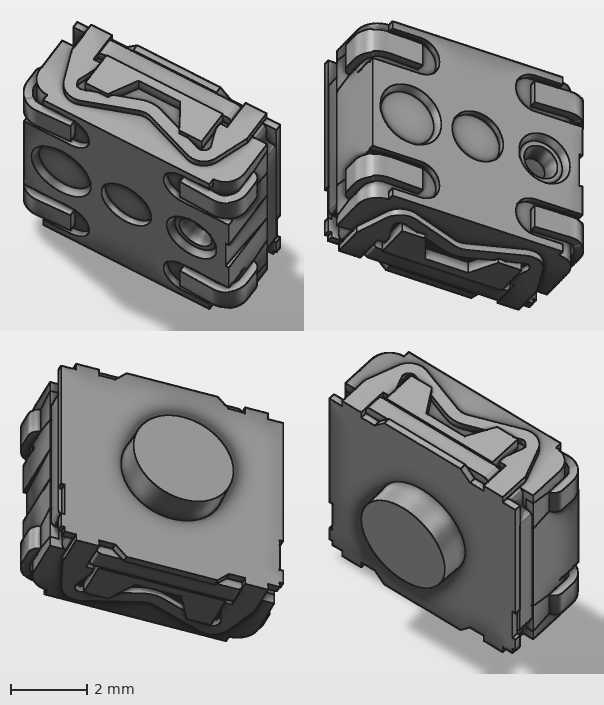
import cadquery as cq
import math


sheet = 0.2
terminal_sheet = 0.24

block_half_x = 3.16
block_half_z = 2.8
block_depth = 1.9
corner_radius = 0.6
recess_depth = 0.2

rim_height = 0.5
rim_half_x = 3.13
rim_half_z = 2.115
rim_neck_half_x = 2.815
rim_neck_half_z = 2.82
rim_tab_half_x = 2.06
rim_tab_half_z = 3.095
rim_radius = 0.15

lug_half_x = 1.795
lug_drop = 1.055
lug_half_z = 3.15
lug_notch_half_top = 0.645
lug_notch_half_bottom = 1.1
lug_notch_top = -0.26

terminal_z = 2.0
pad_recess_z = 1.985
pad_recess_radius = 0.58
pad_recess_x = 1.73
fillet_zone_inner_z = 1.435

edge_notch_half_z = 0.5
edge_notch_draft = 3.0

locating_hole_x = 2.01
wide_hole_radius = 0.92
wide_hole_floor_radius = 0.8
middle_hole_radius = 0.77
step_hole_radius = 0.77
step_hole_floor_radius = 0.645
inner_hole_radius = 0.5
inner_hole_floor_radius = 0.35
inner_hole_depth = 0.4

plate_half_x = 3.135
tab_half_base = 1.605
tab_half_tip = 1.285
side_notch_top = -1.22
side_notch_bottom = -2.23
side_notch_depth = 0.1
corner_step_z = 0.155

hook_leg_half_x = 2.705
hook_jog_half_x = 1.84
hook_jog_y = -0.22
hook_slope = 20.0
hook_band = 0.355
hook_bend_radius = 0.55
hook_bend_x = 1.84
hook_bend_y = -1.01
hook_peak_radius = 0.55

button_radius = 1.44
button_tip_radius = 1.41
button_height = 0.8

terminal_width = 0.75
terminal_tip_width = 0.68
terminal_root_width = 0.99
terminal_half_x = 3.4
terminal_bend_radius = 0.65
terminal_top_radius = 0.3
terminal_drop = 2.0
terminal_tip_x = 1.685
terminal_tilt = 2.5
terminal_neck_y = -0.66
narrowing_angle = 52.0
narrowing_length = 0.095

cover_top = rim_height + sheet
pad_floor = recess_depth - block_depth


def plate_sketch(y):
    """Workplane with local axes X and Z at height y; positive extrusions go to -Y."""
    return cq.Workplane("XZ", origin=(0, y, 0))


def box(x0, x1, y0, y1, z0, z1):
    return cq.Workplane("XY").box(x1 - x0, y1 - y0, z1 - z0, centered=False).translate((x0, y0, z0))


def centred_slab(half_x, half_z, y0, y1):
    return box(-half_x, half_x, y0, y1, -half_z, half_z)


def polar(radius, degrees):
    angle = math.radians(degrees)
    return cq.Vector(radius * math.cos(angle), radius * math.sin(angle))


def point(vector):
    """Plain coordinates of a vector in the XY plane."""
    return vector.x, vector.y


def mirrored_point(vector):
    return -vector.x, vector.y


def both_z(shape):
    """The shape together with its mirror image at -Z."""
    return shape.union(shape.mirror("XY"))


def terminal_strip():
    """Bent strip outside the housing, at the -X side, centred on Z = 0."""
    inner_radius = terminal_bend_radius - terminal_sheet
    centre = cq.Vector(terminal_bend_radius - terminal_half_x, terminal_bend_radius - terminal_drop)
    foot_angle = 270 + terminal_tilt
    mid_angle = (180 + foot_angle) / 2
    outer_end = centre + polar(terminal_bend_radius, foot_angle)
    inner_end = centre + polar(inner_radius, foot_angle)
    foot = polar((-terminal_tip_x - outer_end.x) / math.cos(math.radians(terminal_tilt)), terminal_tilt)
    top_centre = cq.Vector(terminal_top_radius - terminal_half_x, terminal_neck_y - terminal_top_radius)

    strip = (
        cq.Workplane("XY", origin=(0, 0, -terminal_width / 2))
        .moveTo(top_centre.x, terminal_neck_y)
        .threePointArc(
            point(top_centre + polar(terminal_top_radius, 135)),
            point(top_centre + polar(terminal_top_radius, 180)),
        )
        .lineTo(-terminal_half_x, centre.y)
        .threePointArc(point(centre + polar(terminal_bend_radius, mid_angle)), point(outer_end))
        .lineTo(*point(outer_end + foot))
        .lineTo(*point(inner_end + foot))
        .lineTo(*point(inner_end))
        .threePointArc(
            point(centre + polar(inner_radius, mid_angle)),
            point(centre + polar(inner_radius, 180)),
        )
        .lineTo(-block_half_x, top_centre.y)
        .lineTo(top_centre.x, top_centre.y)
        .close()
        .extrude(terminal_width)
    )

    radial = polar(1, 180 + narrowing_angle)
    along = polar(1, 270 + narrowing_angle)
    reach = terminal_half_x
    trim_plane = cq.Plane(origin=centre, xDir=along, normal=radial)
    wide_half = terminal_width / 2
    tip_half = terminal_tip_width / 2
    half_length = narrowing_length / 2
    half_step = (wide_half - tip_half) / 2
    half_sweep = math.atan(half_step / half_length)
    curve_radius = (half_length**2 + half_step**2) / (2 * half_step)
    mid_along = half_length - curve_radius * math.sin(half_sweep)
    mid_rise = curve_radius * (1 - math.cos(half_sweep))
    trim = (
        cq.Workplane(trim_plane)
        .moveTo(-half_length, wide_half)
        .threePointArc((-mid_along, wide_half - mid_rise), (0, wide_half - half_step))
        .threePointArc((mid_along, tip_half + mid_rise), (half_length, tip_half))
        .lineTo(reach, tip_half)
        .lineTo(reach, wide_half)
        .close()
        .extrude(reach, both=True)
    )
    return strip.cut(both_z(trim))


def terminal_root():
    """Tapered root, flush with the housing's -X side, centred on Z = 0."""
    root_end = terminal_neck_y - terminal_top_radius
    root_half = terminal_root_width / 2
    neck_half = terminal_width / 2
    return (
        cq.Workplane("YZ", origin=(-block_half_x, 0, 0))
        .polyline([
            (0, root_half), (terminal_neck_y, neck_half), (root_end, neck_half),
            (root_end, -neck_half), (terminal_neck_y, -neck_half), (0, -root_half),
        ])
        .close()
        .extrude(terminal_sheet)
    )


def make_terminals():
    left = terminal_strip().union(terminal_root())
    terminals = []
    for side in (left, left.mirror("YZ")):
        for z in (-terminal_z, terminal_z):
            terminals.append(side.translate((0, 0, z)))
    return terminals


def hook_profile():
    """Clip outline: two legs joined by a V band, to be extruded along Z."""
    slope = math.radians(hook_slope)
    inner_radius = hook_bend_radius - hook_band
    bend = cq.Vector(-hook_bend_x, hook_bend_y)
    leg_angle = 180 + hook_slope
    band_angle = 270 + hook_slope
    bottom_angle = (leg_angle + band_angle) / 2

    band_normal = polar(1, 90 + hook_slope)
    peak_offset = bend.dot(band_normal) - hook_bend_radius - hook_peak_radius
    peak = cq.Vector(0, peak_offset / math.cos(slope))
    peak_top_radius = hook_peak_radius + hook_band

    leg_foot = bend + polar(hook_bend_radius, leg_angle)
    knee_y = leg_foot.y + (hook_leg_half_x + leg_foot.x) / math.tan(slope)
    inner_foot = bend + polar(inner_radius, 180 - hook_slope)
    inner_knee_y = inner_foot.y + (-hook_jog_half_x - inner_foot.x) / math.tan(slope)

    bend_bottom = bend + polar(hook_bend_radius, bottom_angle)
    bend_end = bend + polar(hook_bend_radius, band_angle)
    inner_bottom_angle = (180 - hook_slope + band_angle) / 2
    inner_bottom = bend + polar(inner_radius, inner_bottom_angle)
    inner_end = bend + polar(inner_radius, band_angle)
    lower_peak_start = peak + polar(hook_peak_radius, 90 + hook_slope)
    lower_peak_top = peak + polar(hook_peak_radius, 90)
    upper_peak_start = peak + polar(peak_top_radius, 90 + hook_slope)
    upper_peak_top = peak + polar(peak_top_radius, 90)

    return (
        cq.Workplane("XY", origin=(0, 0, rim_neck_half_z))
        .moveTo(-rim_tab_half_x, cover_top)
        .lineTo(-hook_leg_half_x, cover_top)
        .lineTo(-hook_leg_half_x, knee_y)
        .lineTo(*point(leg_foot))
        .threePointArc(point(bend_bottom), point(bend_end))
        .lineTo(*point(lower_peak_start))
        .threePointArc(point(lower_peak_top), mirrored_point(lower_peak_start))
        .lineTo(*mirrored_point(bend_end))
        .threePointArc(mirrored_point(bend_bottom), mirrored_point(leg_foot))
        .lineTo(hook_leg_half_x, knee_y)
        .lineTo(hook_leg_half_x, cover_top)
        .lineTo(rim_tab_half_x, cover_top)
        .lineTo(rim_tab_half_x, hook_jog_y)
        .lineTo(hook_jog_half_x, hook_jog_y)
        .lineTo(hook_jog_half_x, inner_knee_y)
        .lineTo(*mirrored_point(inner_foot))
        .threePointArc(mirrored_point(inner_bottom), mirrored_point(inner_end))
        .lineTo(*mirrored_point(upper_peak_start))
        .threePointArc(point(upper_peak_top), point(upper_peak_start))
        .lineTo(*point(inner_end))
        .threePointArc(point(inner_bottom), point(inner_foot))
        .lineTo(-hook_jog_half_x, inner_knee_y)
        .lineTo(-hook_jog_half_x, hook_jog_y)
        .lineTo(-rim_tab_half_x, hook_jog_y)
        .close()
    )


def cover_plate():
    """Flat plate with an end tab at each end and relieved long edges."""
    edge_x = plate_half_x
    relieved_x = plate_half_x - side_notch_depth
    end_z = rim_neck_half_z
    tab_end_z = end_z + tab_half_base - tab_half_tip
    right_side = [
        (tab_half_tip, tab_end_z),
        (tab_half_base, end_z),
        (edge_x, end_z),
        (edge_x, side_notch_top),
        (relieved_x, side_notch_top),
        (relieved_x, side_notch_bottom),
        (edge_x, side_notch_bottom),
        (edge_x, corner_step_z - end_z),
        (relieved_x, corner_step_z - end_z),
        (relieved_x, -end_z),
        (tab_half_base, -end_z),
        (tab_half_tip, -tab_end_z),
    ]
    left_side = [(-x, z) for x, z in reversed(right_side)]
    return plate_sketch(cover_top).polyline(right_side + left_side).close().extrude(sheet)


def make_cover():
    hook = hook_profile().extrude(sheet)
    button_hole = plate_sketch(cover_top).circle(button_radius).extrude(sheet)
    return cover_plate().union(both_z(hook)).cut(button_hole)


def rim():
    """Stepped, rounded layer under the cover."""
    wide = centred_slab(rim_half_x, rim_half_z, 0, rim_height)
    neck = centred_slab(rim_neck_half_x, rim_neck_half_z, 0, rim_height)
    tab = centred_slab(rim_tab_half_x, rim_tab_half_z, 0, rim_height)
    body = wide.union(neck).edges("|Y").fillet(rim_radius)
    return body.union(tab.edges("|Y").fillet(rim_radius))


def lug():
    """Catch on the +Z end, with a trapezoid notch open downward."""
    block = box(-lug_half_x, lug_half_x, -lug_drop, 0, 0, lug_half_z)
    notch = (
        cq.Workplane("XY", origin=(0, 0, block_half_z))
        .polyline([
            (-lug_notch_half_bottom, -lug_drop), (-lug_notch_half_top, lug_notch_top),
            (lug_notch_half_top, lug_notch_top), (lug_notch_half_bottom, -lug_drop),
        ])
        .close()
        .extrude(lug_half_z - block_half_z)
    )
    return block.cut(notch)


def corner_relief():
    """Material removed round one lower corner, at -X and +Z."""
    centre_x = corner_radius - block_half_x
    centre_y = pad_floor + corner_radius
    diagonal = corner_radius * math.sqrt(0.5)
    return (
        cq.Workplane("XY", origin=(0, 0, fillet_zone_inner_z))
        .moveTo(-block_half_x, centre_y)
        .threePointArc((centre_x - diagonal, centre_y - diagonal), (centre_x, pad_floor))
        .lineTo(centre_x, -block_depth)
        .lineTo(-block_half_x, -block_depth)
        .close()
        .extrude(block_half_z - fillet_zone_inner_z)
    )


def pad_recess():
    """Round-ended recess for one terminal foot, open to the -X side."""
    round_end = (
        plate_sketch(pad_floor)
        .center(-pad_recess_x, pad_recess_z)
        .circle(pad_recess_radius)
        .extrude(recess_depth)
    )
    channel = box(
        -block_half_x, -pad_recess_x, -block_depth, pad_floor,
        pad_recess_z - pad_recess_radius, pad_recess_z + pad_recess_radius,
    )
    return round_end.union(channel)


def face_hole(x, mouth_radius, floor_radius, mouth_y, depth):
    """Round recess in the mounting face, tapered from its mouth down to its floor."""
    cone = cq.Solid.makeCone(
        mouth_radius, floor_radius, depth, pnt=cq.Vector(x, mouth_y, 0), dir=cq.Vector(0, 1, 0)
    )
    return cq.Workplane("XY").add(cone)


def edge_notch():
    """Drafted notch down the +X side."""
    mouth_depth = block_depth * math.tan(math.radians(edge_notch_draft))
    return (
        cq.Workplane("XY", origin=(0, 0, -edge_notch_half_z))
        .polyline([
            (block_half_x, -block_depth), (block_half_x - mouth_depth, -block_depth), (block_half_x, 0),
        ])
        .close()
        .extrude(2 * edge_notch_half_z)
    )


def make_housing(cover, terminals):
    housing = centred_slab(block_half_x, block_half_z, -block_depth, 0)
    housing = housing.union(both_z(lug())).union(rim())

    corner = both_z(corner_relief().union(pad_recess()))
    housing = housing.cut(corner).cut(corner.mirror("YZ"))

    middle_hole = plate_sketch(pad_floor).circle(middle_hole_radius).extrude(recess_depth)
    housing = housing.cut(middle_hole)
    housing = housing.cut(face_hole(
        -locating_hole_x, wide_hole_radius, wide_hole_floor_radius, -block_depth, recess_depth))
    housing = housing.cut(face_hole(
        locating_hole_x, step_hole_radius, step_hole_floor_radius, -block_depth, recess_depth))
    housing = housing.cut(face_hole(
        locating_hole_x, inner_hole_radius, inner_hole_floor_radius, pad_floor, inner_hole_depth))
    housing = housing.cut(edge_notch())

    for terminal in terminals:
        housing = housing.cut(terminal)
    return housing.cut(cover)


def make_button():
    """Slightly tapered button standing on the rim and passing through the cover."""
    shank = plate_sketch(cover_top).circle(button_radius).extrude(sheet)
    cap = cq.Solid.makeCone(
        button_radius, button_tip_radius, button_height,
        pnt=cq.Vector(0, cover_top, 0), dir=cq.Vector(0, 1, 0),
    )
    return shank.union(cq.Workplane("XY").add(cap))


cover = make_cover()
terminals = make_terminals()
housing = make_housing(cover, terminals)
button = make_button()

result = cq.Compound.makeCompound(
    [housing.val(), cover.val(), button.val(), *[terminal.val() for terminal in terminals]]
)